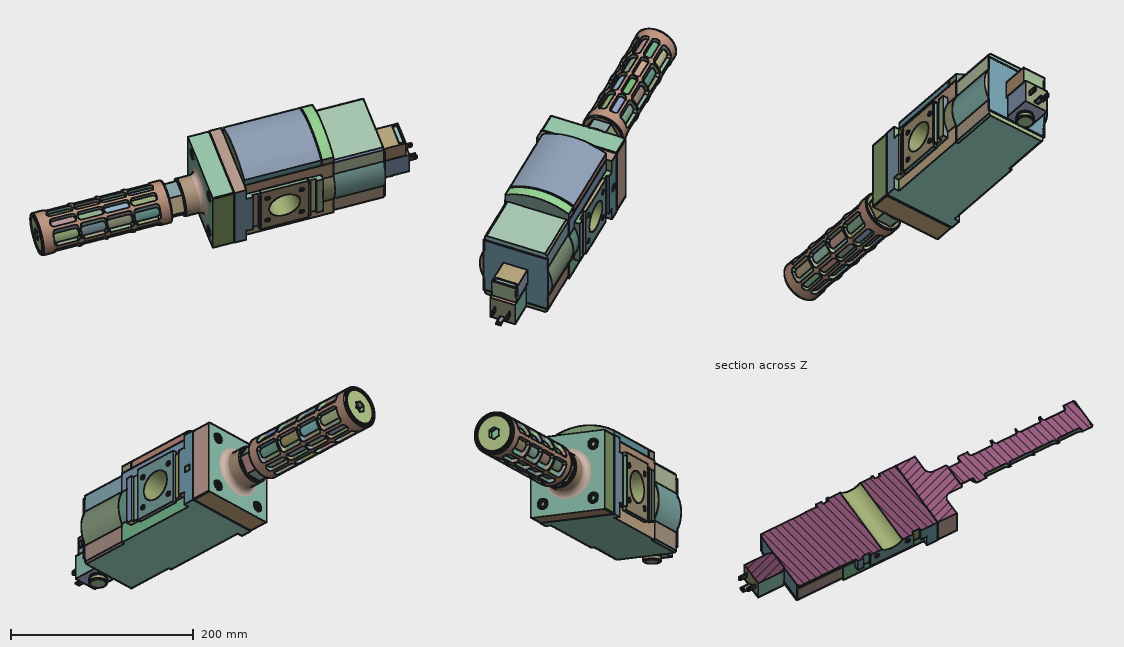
import cadquery as cq
import math


block_width = 90.0
half_block = block_width / 2
flange_depth = 25.0
flange_edge_chamfer = 1.0
flange_screw_offset = 30.5
screw_recess_diameter = 12.0
screw_head_diameter = 10.0
screw_recess_depth = 2.0
screw_hex_diameter = 7.0
neck_radius = 21.5
neck_flare = 7.0
neck_length = 24.0
neck_chamfer = 1.5

collar_end = 38.5
cover_end = 141.0
body_end = 199.0
half_body = 38.5
rear_half_width = 37.0
body_edge_chamfer = 2.0
barrel_radius = 43.5
rear_barrel_radius = 43.2
cover_half_width = 38.0
cover_side_top = 54.0
cover_top = 64.0
cover_groove_y = 127.5
cover_groove_width = 1.0
cover_groove_depth = 1.0
back_plate_thickness = 1.5
mark_size = 7.0
mark_y = 33.5
mark_depth = 0.5

port_y = 82.5
port_diameter = 36.0
rail_end = 126.5
half_rail_height = 29.0
rail_notch_start = 46.5
rail_notch_end = 119.2
rail_notch_floor = 42.0
port_plate_length = 55.0
port_plate_height = 65.5
port_plate_thickness = 4.5
port_screw_offset = 19.5
port_screw_diameter = 5.5
port_screw_depth = 1.7
port_screw_head_diameter = 3.0
port_bar_width = 2.0
port_bar_reach = 46.5

coil_width = 29.0
socket_width = 29.5
coil_end = 232.0
coil_top = 13.0
socket_end = 236.0
socket_top = -8.7
socket_bottom = -38.5
socket_base_round = 5.0
coil_recess_length = 5.2
coil_recess_depth = 1.5
coil_recess_width = 24.5
coil_recess_y = 227.5
coil_window_height = 9.0
coil_window_z = 4.0
coil_window_length = 4.5
coil_window_y = 229.0
blade_width = 5.5
blade_thickness = 1.5
blade_tip_chamfer = 1.5
blade_hole_diameter = 1.65
blade_hole_tip_gap = 2.5
ground_blade_end = 248.0
ground_blade_z = -33.0
contact_blade_end = 246.5
contact_blade_x = 8.7
contact_blade_z = -24.0
knob_y = 215.8
knob_neck_diameter = 18.5
knob_diameter = 20.0
knob_top = -40.0
knob_bottom = -47.0
knob_chamfer = 1.5

nipple_across_flats = 35.5
silencer_start = -39.5
silencer_end = -188.5
silencer_radius = 24.0
silencer_chamfer = 1.5
core_radius = 19.2
end_ring_outer_radius = 21.5
end_ring_inner_radius = 20.0
end_ring_depth = 1.0
slot_length = 29.3
slot_middle_y = -113.5
slot_middle_gap = 1.0
slot_gap = 2.0
slot_width = 9.0
slot_inner_x = 6.5
slot_outer_x = 19.0
slot_corner_radius = 3.5
slot_floor = 2.5
slot_floor_chamfer = 2.5
key_across_flats = 12.0
key_depth = 6.5


def box(x_start, x_end, y_start, y_end, z_start, z_end):
    """Box between the given limits."""
    size = (x_end - x_start, y_end - y_start, z_end - z_start)
    return cq.Workplane("XY").box(*size, centered=False).translate((x_start, y_start, z_start))


def y_sketch(y):
    """Workplane across the valve axis, with +X right, +Z up and +Y into the part."""
    return cq.Workplane(cq.Plane(origin=(0, y, 0), xDir=(1, 0, 0), normal=(0, -1, 0)))


def y_cylinder(radius, y_start, y_end):
    """Cylinder on the valve axis."""
    return y_sketch(y_end).circle(radius).extrude(y_end - y_start)


def y_hexagon(across_flats, y_start, y_end):
    """Hexagonal bar on the valve axis with two corners on X."""
    across_corners = across_flats / math.cos(math.pi / 6)
    return y_sketch(y_end).polygon(6, across_corners).extrude(y_end - y_start)


def make_flange():
    flange = box(-half_block, half_block, 0, flange_depth, -half_block, half_block)
    flange = flange.edges("|Y or >Y").chamfer(flange_edge_chamfer)

    flare_radius = neck_radius + neck_flare
    neck = (
        cq.Workplane("XY")
        .moveTo(0, 0)
        .lineTo(flare_radius, 0)
        .radiusArc((neck_radius, -neck_flare), -neck_flare)
        .lineTo(neck_radius, neck_chamfer - neck_length)
        .lineTo(neck_radius - neck_chamfer, -neck_length)
        .lineTo(0, -neck_length)
        .close()
        .revolve(360, (0, 0, 0), (0, 1, 0))
    )
    flange = flange.union(neck)

    for x in (-flange_screw_offset, flange_screw_offset):
        for z in (-flange_screw_offset, flange_screw_offset):
            screw = y_sketch(screw_recess_depth).center(x, z)
            ring = screw.circle(screw_recess_diameter / 2).circle(screw_head_diameter / 2)
            flange = flange.cut(ring.extrude(screw_recess_depth))
            key = y_sketch(screw_recess_depth).center(x, z).polygon(6, screw_hex_diameter)
            flange = flange.cut(key.extrude(screw_recess_depth))
    return flange


def cover_profile(inset):
    """Outline of the domed top cover, drawn inwards by the inset and closed at Z = 0."""
    side = cover_half_width - inset
    return (
        y_sketch(cover_end)
        .moveTo(-side, 0)
        .lineTo(-side, cover_side_top - inset)
        .threePointArc((0, cover_top - inset), (side, cover_side_top - inset))
        .lineTo(side, 0)
        .close()
    )


def make_cover():
    cover = cover_profile(0).extrude(cover_end - collar_end)
    groove_start = cover_groove_y - cover_groove_width / 2
    groove_end = groove_start + cover_groove_width
    groove = box(-half_block, half_block, groove_start, groove_end, half_block, cover_top)
    core = cover_profile(cover_groove_depth).extrude(cover_end - collar_end)
    return cover.cut(groove.cut(core))


def make_rails():
    """Raised strips on both sides that hold the port plates, each with a wide notch."""
    rails = box(-half_block, half_block, collar_end, rail_end, -half_rail_height, half_rail_height)
    notch_span = (rail_notch_start, rail_notch_end, -half_rail_height, half_rail_height)
    rails = rails.cut(box(-half_block, -rail_notch_floor, *notch_span))
    return rails.cut(box(rail_notch_floor, half_block, *notch_span))


def make_port_plates():
    plate_start = port_y - port_plate_length / 2
    plate_end = port_y + port_plate_length / 2
    half_height = port_plate_height / 2
    plate_span = (plate_start, plate_end, -half_height, half_height)
    inner_face = half_block - port_plate_thickness
    plates = box(-half_block, -inner_face, *plate_span)
    plates = plates.union(box(inner_face, half_block, *plate_span))
    for bar_start in (plate_start - port_bar_width, plate_end):
        bar_span = (bar_start, bar_start + port_bar_width, -half_rail_height, half_rail_height)
        plates = plates.union(box(inner_face, port_bar_reach, *bar_span))
    return plates


def port_screw_cuts():
    """Ring-shaped recesses around the port screws of both plates."""
    offsets = [
        (port_y + y, z)
        for y in (-port_screw_offset, port_screw_offset)
        for z in (-port_screw_offset, port_screw_offset)
    ]
    cuts = cq.Workplane("YZ")
    for x_start in (-half_block, half_block - port_screw_depth):
        face = cq.Workplane("YZ", origin=(x_start, 0, 0)).pushPoints(offsets)
        holes = face.circle(port_screw_diameter / 2).extrude(port_screw_depth)
        heads = face.circle(port_screw_head_diameter / 2).extrude(port_screw_depth)
        cuts = cuts.add(holes.cut(heads))
    return cuts.combine()


def make_valve_body():
    body = box(-rear_half_width, rear_half_width, cover_end, body_end, -half_block, half_block)
    body = body.edges("|Y").chamfer(body_edge_chamfer)
    middle = box(-half_body, half_body, collar_end, cover_end, -half_block, half_block)
    collar = box(-half_block, half_block, flange_depth, collar_end, -half_block, half_block)
    back_plate_end = body_end + back_plate_thickness
    back_plate = box(-half_body, half_body, body_end, back_plate_end, -half_body, half_body)
    for part in (
        middle,
        collar,
        y_cylinder(barrel_radius, rail_notch_end, cover_end),
        y_cylinder(rear_barrel_radius, cover_end, body_end),
        make_cover(),
        make_rails(),
        make_port_plates(),
        back_plate,
    ):
        body = body.union(part)

    port = cq.Workplane("YZ").center(port_y, 0).circle(port_diameter / 2)
    body = body.cut(port.extrude(block_width, both=True))
    body = body.cut(port_screw_cuts())

    mark = cq.Workplane("YZ", origin=(-half_block, mark_y, 0)).rect(mark_size, mark_size)
    return body.cut(mark.extrude(mark_depth))


def make_contact_blade(x):
    blade = (
        box(-blade_thickness / 2, blade_thickness / 2, socket_end, contact_blade_end, 0, blade_width)
        .edges(">Y and |X")
        .chamfer(blade_tip_chamfer)
    )
    hole_y = contact_blade_end - blade_hole_tip_gap
    hole = cq.Workplane("YZ").center(hole_y, blade_width / 2).circle(blade_hole_diameter / 2)
    blade = blade.cut(hole.extrude(blade_thickness, both=True))
    return blade.translate((x, 0, contact_blade_z - blade_width / 2))


def make_pilot():
    pilot_start = body_end + back_plate_thickness
    half_coil = coil_width / 2
    half_socket = socket_width / 2
    coil = box(-half_coil, half_coil, pilot_start, coil_end, socket_top, coil_top)
    socket = box(-half_socket, half_socket, pilot_start, socket_end, socket_bottom, socket_top)
    socket = socket.edges("<Y and |Z").fillet(socket_base_round)
    pilot = coil.union(socket)

    recess_start = coil_recess_y - coil_recess_length / 2
    recess_end = recess_start + coil_recess_length
    half_recess = coil_recess_width / 2
    recess_floor = coil_top - coil_recess_depth
    pilot = pilot.cut(box(-half_recess, half_recess, recess_start, recess_end, recess_floor, coil_top))

    window = cq.Workplane("YZ", origin=(-half_coil, coil_window_y, coil_window_z))
    window = window.rect(coil_window_length, coil_window_height)
    pilot = pilot.cut(window.extrude(coil_recess_depth))

    ground_bottom = ground_blade_z - blade_thickness / 2
    ground_top = ground_bottom + blade_thickness
    half_blade = blade_width / 2
    ground_blade = box(-half_blade, half_blade, socket_end, ground_blade_end, ground_bottom, ground_top)
    hole_y = ground_blade_end - blade_hole_tip_gap
    hole = cq.Workplane("XY", origin=(0, hole_y, ground_bottom)).circle(blade_hole_diameter / 2)
    pilot = pilot.union(ground_blade.cut(hole.extrude(blade_thickness)))
    for x in (-contact_blade_x, contact_blade_x):
        pilot = pilot.union(make_contact_blade(x))

    knob_neck = cq.Workplane("XY", origin=(0, knob_y, knob_top)).circle(knob_neck_diameter / 2)
    pilot = pilot.union(knob_neck.extrude(socket_bottom - knob_top))
    knob = cq.Workplane("XY", origin=(0, knob_y, knob_bottom)).circle(knob_diameter / 2)
    knob = knob.extrude(knob_top - knob_bottom).edges().chamfer(knob_chamfer)
    return pilot.union(knob)


def make_top_slot(x_start):
    """Round-cornered cut from the top, standing on the slot floor and centred at Y = 0."""
    half_length = slot_length / 2
    x_end = x_start + slot_width
    slot = box(x_start, x_end, -half_length, half_length, slot_floor, silencer_radius)
    return slot.edges("|Z").fillet(slot_corner_radius)


def make_side_slot(x_start):
    """Cut that is open to the side as well as to the top, centred at Y = 0."""
    half_length = slot_length / 2
    slot = box(x_start, 2 * silencer_radius, -half_length, half_length, slot_floor, silencer_radius)
    slot = slot.edges("|Z and <X").fillet(slot_corner_radius)
    return slot.edges("|X and <Z").chamfer(slot_floor_chamfer)


def slot_cuts():
    """Four rows of slots above and below the middle plane, as deep as the core."""
    inner_row = (slot_middle_gap + slot_length) / 2
    outer_row = inner_row + slot_length + slot_gap
    quarter = make_top_slot(slot_inner_x - slot_width / 2)
    quarter = quarter.add(make_side_slot(slot_outer_x - slot_width / 2)).combine()
    upper = quarter.add(quarter.mirror("YZ")).combine()
    ring = upper.add(upper.mirror("XY")).combine()

    slots = cq.Workplane("XY")
    for offset in (-outer_row, -inner_row, inner_row, outer_row):
        slots = slots.add(ring.translate((0, slot_middle_y + offset, 0)))
    core = y_cylinder(core_radius, silencer_end, silencer_start)
    return slots.combine().cut(core)


def make_silencer():
    tube = y_cylinder(silencer_radius, silencer_end, silencer_start)
    tube = tube.edges().chamfer(silencer_chamfer)
    tube = tube.cut(slot_cuts())
    end_ring = y_sketch(silencer_end + end_ring_depth).circle(end_ring_outer_radius)
    end_ring = end_ring.circle(end_ring_inner_radius).extrude(end_ring_depth)
    tube = tube.cut(end_ring)
    silencer = tube.union(y_hexagon(nipple_across_flats, silencer_start, -neck_length))
    key = y_hexagon(key_across_flats, silencer_end, silencer_end + key_depth)
    return silencer.cut(key.rotate((0, 0, 0), (0, 1, 0), 90))


flange = make_flange()
valve_body = make_valve_body()
pilot = make_pilot()
silencer = make_silencer()

result = cq.Compound.makeCompound([flange.val(), valve_body.val(), pilot.val(), silencer.val()])